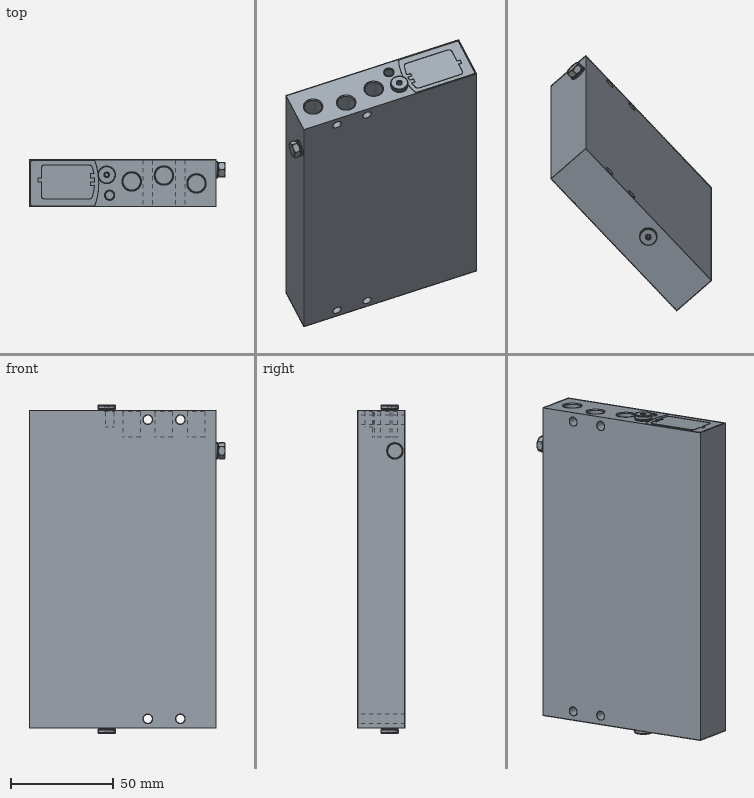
import cadquery as cq
import math

LENGTH = 91.2
DEPTH = 23.0
OVERALL_HEIGHT = 160.5
OVERALL_LENGTH = 95.5
END_FITTING_HEIGHT = 2.7
HEIGHT = OVERALL_HEIGHT - 2 * END_FITTING_HEIGHT
TOP = HEIGHT / 2

CROSS_HOLE_D = 4.5
CROSS_HOLE_X = [57.8, 73.7]
CROSS_HOLE_INSET = 4.5

PORT_D = 8.5
PORT_CHAMFER = 0.5
PORT_CHAMFER_ANGLE = 90
PORT_DEPTH = 12.8
PORT_CENTRES = [(49.9, 12.4), (65.6, 15.2), (81.5, 11.4)]

SMALL_HOLE_CENTRE = (39.2, 5.6)
SMALL_HOLE_D = 4.2
SMALL_BORE_D = 5.0
SMALL_BORE_DEPTH = 0.5
SMALL_HOLE_DEPTH = 8.0

PLATE_RAISE = 0.08
PLATE_INSET = 0.5
PLATE_CORNER_X = 32.0
PLATE_BOW_X = 33.9
PLATE_CORNER_R = 1.0

WINDOW_LEFT = 5.8
WINDOW_FRONT = 3.9
WINDOW_BACK = 20.4
WINDOW_CORNER_X = 30.3
WINDOW_BOW_X = 31.8
WINDOW_CORNER_R = 1.6
TAB_LEFT = 4.2
TAB_FRONT = 12.0
TAB_BACK = 14.1
NOTCH_LEFT = 29.7
NOTCH_SPANS_Y = [(10.5, TAB_FRONT), (TAB_BACK, 16.2)]

FITTING_CENTRE = (37.7, 15.5)
FITTING_D = 8.5
FITTING_FOOT_D = 8.0
FITTING_FACE_D = 8.0
FITTING_FOOT_HEIGHT = 0.5
FITTING_TAPER_HEIGHT = 0.5
FITTING_HOLE_D = 1.8
FITTING_RECESS_D = 2.7
FITTING_RECESS_DEPTH = 0.8

HEX_FLATS = 7.0
HEX_CENTRE_Y = 18.1
HEX_CENTRE_Z = 57.8
COLLAR_D = 8.0
COLLAR_LENGTH = 0.6
NECK_D = 7.0
NECK_LENGTH = 0.5
HEX_LENGTH = OVERALL_LENGTH - LENGTH - COLLAR_LENGTH - NECK_LENGTH
HEX_CORNERS_D = HEX_FLATS / math.cos(math.radians(30))
HEX_BEVEL = 0.56


def top_plane(height):
    """Horizontal sketch plane whose origin is above the housing corner."""
    return cq.Workplane("XY", origin=(0, 0, height))


def bowed_panel(left, front, back, corner_x, bow_x, base, thickness):
    """Flat panel with three straight sides and a right side bowed outwards."""
    return (
        top_plane(base)
        .moveTo(left, front)
        .lineTo(corner_x, front)
        .threePointArc((bow_x, (front + back) / 2), (corner_x, back))
        .lineTo(left, back)
        .close()
        .extrude(thickness)
    )


def box_on_plate(x_min, x_max, y_min, y_max):
    """Block as thick as the cover plate's raised part."""
    block = top_plane(TOP).box(x_max - x_min, y_max - y_min, PLATE_RAISE, centered=False)
    return block.translate((x_min, y_min, 0))


def make_window():
    """Window shape with a tab on its left side and two notches on its right side."""
    window = bowed_panel(
        WINDOW_LEFT, WINDOW_FRONT, WINDOW_BACK, WINDOW_CORNER_X, WINDOW_BOW_X, TOP, PLATE_RAISE
    )
    window = window.edges("|Z").fillet(WINDOW_CORNER_R)
    for notch_front, notch_back in NOTCH_SPANS_Y:
        window = window.cut(box_on_plate(NOTCH_LEFT, WINDOW_BOW_X, notch_front, notch_back))
    return window.union(box_on_plate(TAB_LEFT, WINDOW_LEFT, TAB_FRONT, TAB_BACK))


def make_cover_plate():
    """Thin raised plate around the window opening."""
    plate = bowed_panel(
        PLATE_INSET, PLATE_INSET, DEPTH - PLATE_INSET, PLATE_CORNER_X, PLATE_BOW_X, TOP, PLATE_RAISE
    )
    plate = plate.edges("|Z and <X").fillet(PLATE_CORNER_R)
    return plate.cut(make_window())


def make_housing():
    """Block with cross holes, top ports, the small hole and the cover plate."""
    housing = top_plane(-TOP).box(LENGTH, DEPTH, HEIGHT, centered=False)

    cross_hole_z = TOP - CROSS_HOLE_INSET
    cross_centres = [(x, z) for x in CROSS_HOLE_X for z in (-cross_hole_z, cross_hole_z)]
    cross_holes = cq.Workplane("XZ").pushPoints(cross_centres).circle(CROSS_HOLE_D / 2).extrude(-DEPTH)
    housing = housing.cut(cross_holes)

    port_mouth_d = PORT_D + 2 * PORT_CHAMFER
    housing = (
        housing.copyWorkplane(top_plane(TOP))
        .pushPoints(PORT_CENTRES)
        .cskHole(PORT_D, port_mouth_d, PORT_CHAMFER_ANGLE, PORT_DEPTH)
    )
    housing = (
        housing.copyWorkplane(top_plane(TOP))
        .pushPoints([SMALL_HOLE_CENTRE])
        .cboreHole(SMALL_HOLE_D, SMALL_BORE_D, SMALL_BORE_DEPTH, SMALL_HOLE_DEPTH)
    )
    return housing.union(make_cover_plate())


def make_end_fitting():
    """Round fitting standing on the top face, with a stepped centre hole."""
    body = (
        cq.Workplane("XZ", origin=(*FITTING_CENTRE, TOP))
        .lineTo(FITTING_FOOT_D / 2, 0)
        .lineTo(FITTING_FOOT_D / 2, FITTING_FOOT_HEIGHT)
        .lineTo(FITTING_D / 2, FITTING_FOOT_HEIGHT + FITTING_TAPER_HEIGHT)
        .lineTo(FITTING_D / 2, END_FITTING_HEIGHT - FITTING_TAPER_HEIGHT)
        .lineTo(FITTING_FACE_D / 2, END_FITTING_HEIGHT)
        .lineTo(0, END_FITTING_HEIGHT)
        .close()
        .revolve(360, (0, 0), (0, 1))
    )
    return (
        body.copyWorkplane(top_plane(TOP + END_FITTING_HEIGHT))
        .center(*FITTING_CENTRE)
        .cboreHole(FITTING_HOLE_D, FITTING_RECESS_D, FITTING_RECESS_DEPTH)
    )


def side_plane(x):
    """Plane facing +X on the axis of the hexagonal fitting."""
    return cq.Workplane("YZ", origin=(x, HEX_CENTRE_Y, HEX_CENTRE_Z))


def make_side_fitting():
    """Round collar and neck carrying a hexagon with bevelled corners."""
    neck_x = LENGTH + COLLAR_LENGTH
    hex_x = neck_x + NECK_LENGTH
    collar = side_plane(LENGTH).circle(COLLAR_D / 2).extrude(COLLAR_LENGTH)
    neck = side_plane(neck_x).circle(NECK_D / 2).extrude(NECK_LENGTH)
    hexagon = side_plane(hex_x).transformed(rotate=(0, 0, 90)).polygon(6, HEX_CORNERS_D).extrude(HEX_LENGTH)
    envelope = side_plane(hex_x).circle(HEX_CORNERS_D / 2).extrude(HEX_LENGTH)
    envelope = envelope.faces("<X or >X").chamfer(HEX_BEVEL)
    return collar.union(neck).union(hexagon.intersect(envelope))


housing = make_housing()
top_fitting = make_end_fitting()
bottom_fitting = top_fitting.mirror("XY")
side_fitting = make_side_fitting()

result = cq.Compound.makeCompound(
    [housing.val(), top_fitting.val(), bottom_fitting.val(), side_fitting.val()]
)